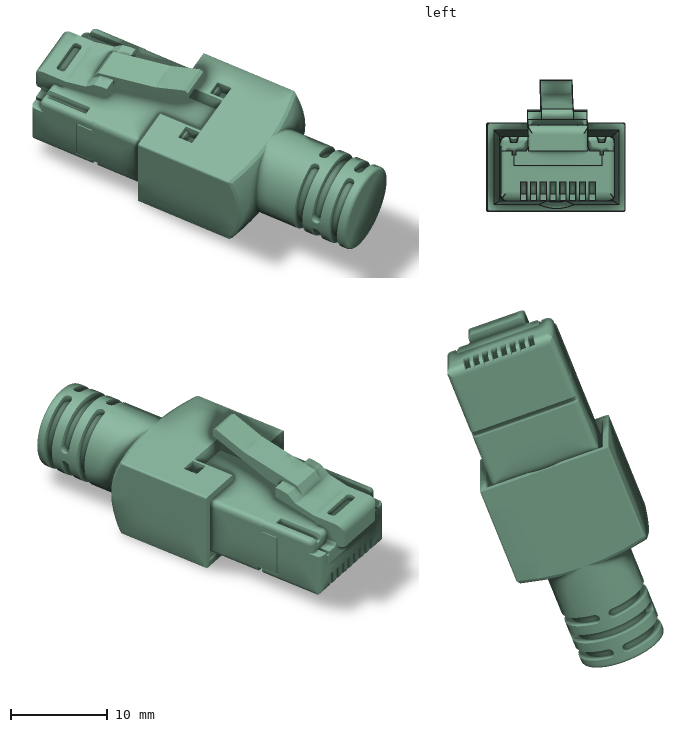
import cadquery as cq


length = 37.35
yaw_deg = 0.7

relief_radius = 4.55
housing_front = 14.37
housing_width = 14.2
housing_half_height = relief_radius
housing_edge_radius = 0.22
dome_apex = 27.2
dome_radius_z = 10.1
dome_drop_y = 0.85
housing_rear_chamfer = 0.22
relief_end_radius = 0.3

mouth_width = 12.9
mouth_height = 7.7
mouth_depth = 1.12
recess_end = 19.15

notch_width = 4.65
notch_taper_deg = 13.0
window_size = 1.65
window_offset_y = 3.4
lug_top_length = 0.22
lug_base_length = 0.52
scallop_bottom = -4.25
scallop_radius = 4.05
scallop_taper_deg = 30.0

ring_width = 1.0
ring_depth = 0.8
ring_bridge = 0.97
ring_centers = (31.8, 33.85, 35.9)

plug_front = 1.0
plug_width = 11.68
plug_top = 3.2
plug_bottom = -3.48
plug_edge_radius = 0.6
plug_corner_radius = 0.6
plug_toe_radius = 0.97
crown_front = 2.05
ledge_top = 1.7
crown_radius = 0.52
rear_crown_radius = 0.65

pad_half_width = 4.53
pad_bottom = 0.2
pad_thickness = 0.15
ledge_slit_width = 0.37
ledge_slit_depth = 0.4
flare_width = 0.22
flare_height = 0.37

groove_offset_y = 4.53
groove_width = 0.97
groove_floor_width = 0.6
groove_depth = 0.65
groove_end = 7.1

contact_count = 8
contact_pitch = 1.0
contact_width = 0.65
contact_slot_top = -1.55
contact_top = -2.77
contact_slot_depth = 1.12
contact_recess = 0.67

shield_front = 6.35
shield_step = 8.27
shield_top = 2.15
shield_bottom = -2.75
shield_gap = 0.15
shield_seam = 0.055
bottom_notch_end = 8.9

latch_width = 6.15
arm_width = 3.3
wing_end = 8.5
latch_nose_radius = 0.97
latch_corner_radius = 0.5
latch_slot_x = 2.4
latch_slot_length = 4.05
latch_slot_width = 1.0
latch_slot_depth = 0.75
latch_slot_corner = 0.35
latch_top = 4.35
wing_top = 5.9
latch_root = 3.33
root_fork = (3.55, 3.63)
strip_top_start = 3.65
strip_top_end = (6.0, 4.9)
strip_thickness = 0.7
arm_underside_z = 4.75


def block(x0, x1, y0, y1, z0, z1):
    """Box given by its limits along each axis."""
    return (
        cq.Workplane("XY")
        .box(x1 - x0, y1 - y0, z1 - z0, centered=False)
        .translate((x0, y0, z0))
    )


def centered_block(x0, x1, width, z0, z1):
    """Box centred on the XZ plane."""
    return block(x0, x1, -width / 2, width / 2, z0, z1)


def prism_along_y(points, width):
    """Closed XZ outline extruded to both sides of the XZ plane."""
    return cq.Workplane("XZ").polyline(points).close().extrude(width / 2, both=True)


def dome():
    """Barrel turned about an axis parallel to Y; its rear skin closes the housing."""
    half = housing_width / 2
    edge_radius = dome_radius_z - dome_drop_y
    return (
        cq.Workplane("XY")
        .moveTo(0, -half)
        .lineTo(edge_radius, -half)
        .threePointArc((dome_radius_z, 0), (edge_radius, half))
        .lineTo(0, half)
        .close()
        .revolve(360, (0, 0, 0), (0, 1, 0))
        .translate((dome_apex - dome_radius_z, 0, 0))
    )


def housing_shell():
    straight_end = dome_apex - dome_radius_z
    half = housing_half_height
    front = centered_block(housing_front, straight_end, housing_width, -half, half)
    rear = centered_block(straight_end, dome_apex, housing_width, -half, half)
    shell = front.union(rear.intersect(dome())).clean()
    shell = shell.faces(">X").edges().chamfer(housing_rear_chamfer)
    return shell.edges("|X").fillet(housing_edge_radius)


def mouth():
    """Bevelled opening that narrows until it meets the plug body."""
    throat_height = plug_top - plug_bottom
    throat_center = (plug_top + plug_bottom) / 2
    return (
        cq.Workplane("YZ", origin=(housing_front, 0, 0))
        .rect(mouth_width, mouth_height)
        .workplane(offset=mouth_depth)
        .center(0, throat_center)
        .rect(plug_width, throat_height)
        .loft()
    )


def top_notch():
    """Notch under the latch tip, narrowing downwards, open to the front."""
    reach = 2 * (recess_end - housing_front)
    return (
        cq.Workplane("XY", origin=(recess_end - reach / 2, 0, housing_half_height))
        .rect(reach, notch_width)
        .extrude(plug_top - housing_half_height, taper=notch_taper_deg)
    )


def window(side):
    """Square window in the roof with a sloping lug at its front end."""
    front = recess_end - window_size
    center = side * window_offset_y
    half = window_size / 2
    opening = block(front, recess_end, center - half, center + half, plug_top, housing_half_height)
    lug_top = (plug_top + housing_half_height) / 2
    lug_outline = [
        (front, plug_top), (front, lug_top),
        (front + lug_top_length, lug_top), (front + lug_base_length, plug_top),
    ]
    lug = prism_along_y(lug_outline, window_size).translate((0, center, 0))
    return opening.cut(lug)


def scallop():
    """Shallow conical relief in the floor of the mouth, rising towards the plug."""
    return (
        cq.Workplane("YZ", origin=(housing_front, 0, scallop_bottom + scallop_radius))
        .circle(scallop_radius)
        .extrude(mouth_depth, taper=scallop_taper_deg)
        .intersect(
            centered_block(housing_front, recess_end, plug_width, -housing_half_height, plug_bottom)
        )
    )


def housing():
    body = housing_shell().cut(mouth()).cut(top_notch()).cut(scallop())
    for side in (-1, 1):
        body = body.cut(window(side))
    return body


def ring_slots(center_x, bridge_plane):
    """Pair of round-ended slots around the relief, parted by two opposite bridges."""
    ring = (
        cq.Workplane("YZ", origin=(center_x - ring_width / 2, 0, 0))
        .circle(relief_radius)
        .circle(relief_radius - ring_depth)
        .extrude(ring_width)
    )
    slot_length = 2 * relief_radius
    slot_offset = (ring_bridge + slot_length) / 2
    slots = (
        cq.Workplane(bridge_plane)
        .pushPoints([(center_x, slot_offset), (center_x, -slot_offset)])
        .slot2D(slot_length, ring_width, 90)
        .extrude(relief_radius, both=True)
    )
    return ring.intersect(slots)


def strain_relief():
    body = (
        cq.Workplane("YZ", origin=(recess_end, 0, 0))
        .circle(relief_radius)
        .extrude(length - recess_end)
        .faces(">X")
        .edges()
        .fillet(relief_end_radius)
    )
    for center_x, plane in zip(ring_centers, ("XY", "XZ", "XY")):
        body = body.cut(ring_slots(center_x, plane))
    return body


def nose_block():
    """Lower body: rounded in section, in plan and along its lower front edge."""
    section = centered_block(plug_front, recess_end, plug_width, plug_bottom, ledge_top)
    plan = section.edges("|Z and <X").fillet(plug_corner_radius)
    side = section.edges("|Y and <X and <Z").fillet(plug_toe_radius)
    return section.edges("|X and <Z").fillet(plug_edge_radius).intersect(plan).intersect(side)


def crown():
    """Upper body behind the ledge; its long edges are rounder under the shield."""
    front = centered_block(crown_front, shield_step, plug_width, 0, plug_top)
    front = front.edges("|X and >Z").fillet(crown_radius)
    front = front.faces("<X").edges("not <Z").fillet(crown_radius)
    rear = centered_block(shield_step, recess_end, plug_width, 0, plug_top)
    return front.union(rear.edges("|X and >Z").fillet(rear_crown_radius))


def front_pad():
    """Raised pad on the nose, as high as the ledge."""
    front = plug_front - pad_thickness
    return centered_block(front, crown_front, 2 * pad_half_width, pad_bottom, ledge_top)


def ledge_flares():
    """Wedges that rise from the ledge to both flanks of the latch root."""
    half = latch_width / 2
    outline = [
        (-half - flare_width, ledge_top), (-half, ledge_top + flare_height),
        (half, ledge_top + flare_height), (half + flare_width, ledge_top),
    ]
    front = plug_front - pad_thickness
    return (
        cq.Workplane("YZ", origin=(front, 0, 0))
        .polyline(outline)
        .close()
        .extrude(crown_front + crown_radius - front)
    )


def top_groove(side):
    """Groove in the crown with leaning walls, carried on as a slit in the ledge."""
    y = side * groove_offset_y
    top_half = groove_width / 2
    floor_half = groove_floor_width / 2
    floor = plug_top - groove_depth
    groove = (
        cq.Workplane("YZ", origin=(crown_front, 0, 0))
        .polyline([
            (y - top_half, plug_top), (y - floor_half, floor),
            (y + floor_half, floor), (y + top_half, plug_top),
        ])
        .close()
        .extrude(groove_end - crown_front)
    )
    slit_half = ledge_slit_width / 2
    slit = block(0, crown_front, y - slit_half, y + slit_half, ledge_top - ledge_slit_depth, ledge_top)
    return groove.union(slit)


def contact_slot(y):
    y0 = y - contact_width / 2
    y1 = y + contact_width / 2
    upper = block(plug_front, plug_front + contact_slot_depth, y0, y1, contact_top, contact_slot_top)
    lower = block(plug_front, plug_front + contact_recess, y0, y1, plug_bottom, contact_top)
    return upper.union(lower)


def shield_gaps(side):
    """Gap along the front and top of one shield flank, and a fine seam below it."""
    y = side * plug_width / 2
    y0 = y - shield_gap
    y1 = y + shield_gap
    upright = block(shield_front, shield_front + shield_gap, y0, y1, shield_bottom, shield_top)
    level = block(shield_front, shield_step, y0, y1, shield_top - shield_gap, shield_top)
    seam = block(shield_front, shield_step, y0, y1, shield_bottom, shield_bottom + shield_seam)
    return upright.union(level).union(seam)


def plug():
    body = nose_block().union(crown()).union(front_pad()).union(ledge_flares())
    for side in (-1, 1):
        body = body.cut(top_groove(side)).cut(shield_gaps(side))
    for i in range(contact_count):
        body = body.cut(contact_slot((i - (contact_count - 1) / 2) * contact_pitch))
    return body.cut(
        centered_block(shield_step, bottom_notch_end, plug_width, plug_bottom, shield_bottom)
    )


def latch_base():
    """Wide root with the flexing strip and the two locking wings."""
    rise = [
        (strip_top_start, latch_top), strip_top_end, (7.0, 5.73), (7.95, wing_top),
        (wing_end, wing_top), (wing_end, arm_underside_z), root_fork,
        (latch_root, 3.3), (latch_root, ledge_top),
    ]
    base = (
        cq.Workplane("XZ")
        .moveTo(0, ledge_top)
        .lineTo(0, latch_top - latch_nose_radius)
        .radiusArc((latch_nose_radius, latch_top), latch_nose_radius)
    )
    for point in rise:
        base = base.lineTo(*point)
    base = base.close().extrude(latch_width / 2, both=True)
    plan = centered_block(0, wing_end, latch_width, ledge_top, wing_top)
    base = base.intersect(plan.edges("<X and |Z").fillet(latch_corner_radius))
    slot = (
        cq.Workplane("XY", origin=(latch_slot_x, 0, latch_top))
        .rect(latch_slot_width, latch_slot_length)
        .extrude(-latch_slot_depth)
        .edges("|Z")
        .fillet(latch_slot_corner)
    )
    return base.cut(slot)


def latch_arm():
    """Narrow arm that rises to the finger tip."""
    strip_x, strip_z = strip_top_end
    outline = [
        strip_top_end, (6.7, 6.0), (13.4, 7.52), (16.88, 9.0), (17.25, 8.75), (17.25, 8.0),
        (10.5, 5.2), (wing_end, arm_underside_z), (strip_x, strip_z - strip_thickness),
    ]
    return prism_along_y(outline, arm_width)


result = (
    housing()
    .union(strain_relief())
    .union(plug())
    .union(latch_base())
    .union(latch_arm())
    .rotate((0, 0, 0), (0, 0, 1), yaw_deg)
)